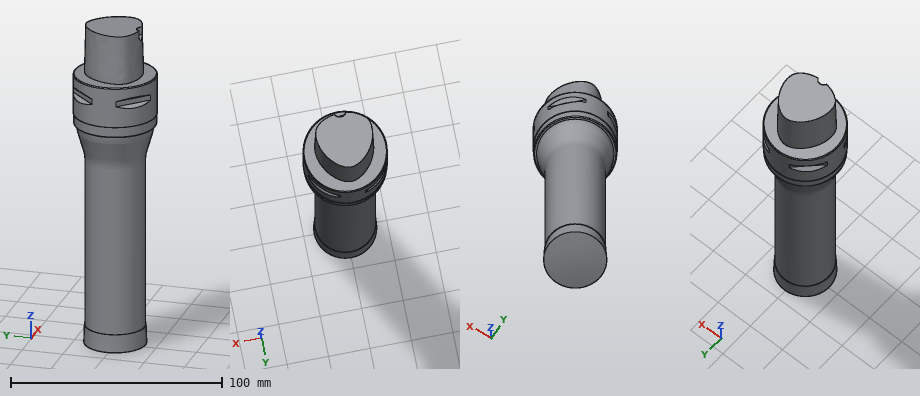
import cadquery as cq
import math

TOTAL_HEIGHT = 161.0
NOSE_HEIGHT = 10.1
NOSE_RIM_HEIGHT = 1.1
CONE_BOTTOM = 96.1
CONE_TOP = 109.3
COLLAR_BOTTOM = 111.9
FLANGE_BOTTOM = 117.2
FLANGE_TOP = 137.2
TAPER_BOTTOM = 139.6

FLANGE_RADIUS = 40.0 / 2
COLLAR_RADIUS = 39.5 / 2
NECK_RADIUS = 36.5 / 2
SHAFT_RADIUS = 28.8 / 2
NOSE_TOP_RADIUS = 14.7
NOSE_RIM_RADIUS = 15.0
EDGE_CHAMFER = 0.5

CONE_BLEND_LOWER = 2.3
CONE_BLEND_UPPER = 1.5

SHANK_DIAMETER = 28.0
LOBE_OFFSET = 0.9
TAPER_RATIO = 1 / 20
LOBE_POINTS = 72

SLOT_COUNT = 4
SLOT_HEIGHT = 129.1
SLOT_DEPTH = 2.3
SLOT_FLOOR_WIDTH = 2.5
SLOT_MOUTH_WIDTH = 5.5

NOTCH_RADIUS = 2.7
NOTCH_AXIS_Y = -13.4
NOTCH_DEPTH = 3.9
NOTCH_TIP_LENGTH = NOTCH_RADIUS


def make_turned_body():
    """Shaft, flared neck, collar and flange revolved about Z."""
    cone_angle = math.atan2(NECK_RADIUS - SHAFT_RADIUS, CONE_TOP - CONE_BOTTOM)
    lower_blend_end = (
        SHAFT_RADIUS + CONE_BLEND_LOWER * math.sin(cone_angle),
        CONE_BOTTOM + CONE_BLEND_LOWER * math.cos(cone_angle),
    )
    upper_blend_start = (
        NECK_RADIUS - CONE_BLEND_UPPER * math.sin(cone_angle),
        CONE_TOP - CONE_BLEND_UPPER * math.cos(cone_angle),
    )
    return (
        cq.Workplane("XZ")
        .moveTo(0, NOSE_HEIGHT)
        .lineTo(SHAFT_RADIUS, NOSE_HEIGHT)
        .lineTo(SHAFT_RADIUS, CONE_BOTTOM - CONE_BLEND_LOWER)
        .tangentArcPoint(lower_blend_end, relative=False)
        .lineTo(*upper_blend_start)
        .tangentArcPoint((NECK_RADIUS, CONE_TOP + CONE_BLEND_UPPER), relative=False)
        .lineTo(NECK_RADIUS, COLLAR_BOTTOM)
        .lineTo(COLLAR_RADIUS - EDGE_CHAMFER, COLLAR_BOTTOM)
        .lineTo(COLLAR_RADIUS, COLLAR_BOTTOM + EDGE_CHAMFER)
        .lineTo(COLLAR_RADIUS, FLANGE_BOTTOM)
        .lineTo(FLANGE_RADIUS, FLANGE_BOTTOM)
        .lineTo(FLANGE_RADIUS, FLANGE_TOP - EDGE_CHAMFER)
        .lineTo(FLANGE_RADIUS - EDGE_CHAMFER, FLANGE_TOP)
        .lineTo(0, FLANGE_TOP)
        .close()
        .revolve(360, (0, 0, 0), (0, 1, 0))
    )


def lobe_wire(mean_radius, height):
    """Closed three-lobed curve with one lobe pointing to +Y."""
    points = []
    for index in range(LOBE_POINTS):
        angle = 2 * math.pi * index / LOBE_POINTS
        lobe_x = LOBE_OFFSET * (2 * math.sin(2 * angle) + math.sin(4 * angle))
        lobe_y = LOBE_OFFSET * (2 * math.cos(2 * angle) - math.cos(4 * angle))
        x = mean_radius * math.sin(angle) + lobe_x
        y = -mean_radius * math.cos(angle) + lobe_y
        points.append(cq.Vector(x, y, height))
    return cq.Wire.assembleEdges([cq.Edge.makeSpline(points, periodic=True)])


def make_shank():
    """Straight lobed foot carrying the tapered lobed shank."""
    base_radius = SHANK_DIAMETER / 2
    top_radius = base_radius - (TOTAL_HEIGHT - TAPER_BOTTOM) * TAPER_RATIO / 2
    base_wire = lobe_wire(base_radius, TAPER_BOTTOM)
    top_wire = lobe_wire(top_radius, TOTAL_HEIGHT)
    foot_wire = lobe_wire(base_radius, FLANGE_TOP)
    foot = cq.Solid.makeLoft([foot_wire, base_wire], True)
    taper = cq.Solid.makeLoft([base_wire, top_wire], True)
    return cq.Workplane(foot).union(cq.Workplane(taper))


def make_gripper_slot(direction):
    """Straight slot with sloping walls, cut across the flange rim."""
    floor_x = FLANGE_RADIUS - SLOT_DEPTH
    half_floor = SLOT_FLOOR_WIDTH / 2
    half_mouth = SLOT_MOUTH_WIDTH / 2
    return (
        cq.Workplane("XZ")
        .moveTo(floor_x, SLOT_HEIGHT - half_floor)
        .lineTo(FLANGE_RADIUS, SLOT_HEIGHT - half_mouth)
        .lineTo(FLANGE_RADIUS, SLOT_HEIGHT + half_mouth)
        .lineTo(floor_x, SLOT_HEIGHT + half_floor)
        .close()
        .extrude(FLANGE_RADIUS, both=True)
        .rotate((0, 0, 0), (0, 0, 1), direction)
    )


def make_notch():
    """Drill shape with a pointed end, open through the side of the shank."""
    cylinder_bottom = TOTAL_HEIGHT - NOTCH_DEPTH
    return (
        cq.Workplane("XZ", origin=(0, NOTCH_AXIS_Y, 0))
        .moveTo(0, cylinder_bottom - NOTCH_TIP_LENGTH)
        .lineTo(NOTCH_RADIUS, cylinder_bottom)
        .lineTo(NOTCH_RADIUS, TOTAL_HEIGHT)
        .lineTo(0, TOTAL_HEIGHT)
        .close()
        .revolve(360, (0, 0, 0), (0, 1, 0))
    )


def make_holder():
    holder = make_turned_body().union(make_shank())
    for index in range(SLOT_COUNT):
        direction = (index + 0.5) * 360 / SLOT_COUNT
        holder = holder.cut(make_gripper_slot(direction))
    return holder.cut(make_notch())


def make_nose():
    """Slightly flared end piece with a shallow domed face."""
    dome_radius = (NOSE_RIM_RADIUS**2 + NOSE_RIM_HEIGHT**2) / (2 * NOSE_RIM_HEIGHT)
    middle_radius = NOSE_RIM_RADIUS / 2
    middle_height = dome_radius - math.sqrt(dome_radius**2 - middle_radius**2)
    return (
        cq.Workplane("XZ")
        .threePointArc((middle_radius, middle_height), (NOSE_RIM_RADIUS, NOSE_RIM_HEIGHT))
        .lineTo(NOSE_TOP_RADIUS, NOSE_HEIGHT)
        .lineTo(0, NOSE_HEIGHT)
        .close()
        .revolve(360, (0, 0, 0), (0, 1, 0))
    )


holder = make_holder()
nose = make_nose()

result = cq.Compound.makeCompound([holder.solids().val(), nose.val()])